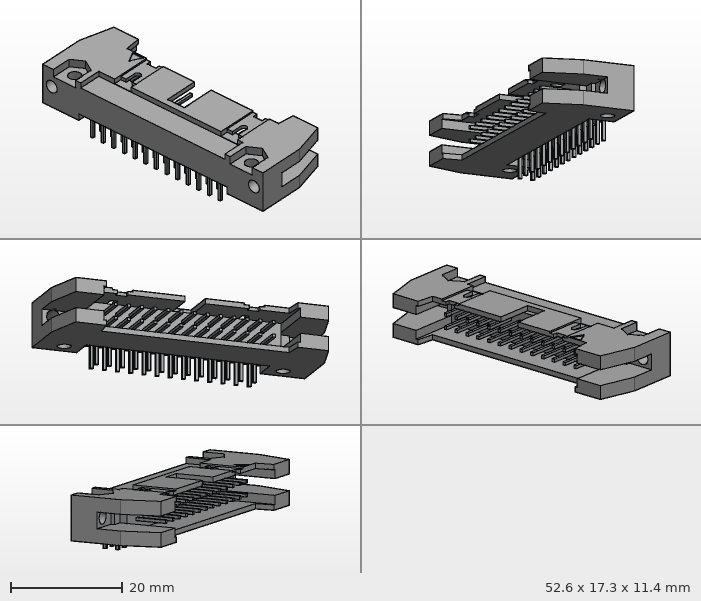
import cadquery as cq

length = 52.6
depth = 17.3
height = 8.4
mid_z = height / 2
wall_edge_y = 13.75
shoulder_y = 10.05
tower_tip_half = 24.35
tower_inner_half = 18.45
tower_root_half = 18.1

wall = 1.0
cavity_half = 18.95
cavity_floor_y = 7.45
slot_height = 3.05
slot_inner_y = 6.05
slot_outer_y = 5.25
slot_step_half = 21.05

ledge_half = 17.2
ledge_drop = 1.1
ledge_back_y = 4.95
recess_half = 17.65
recess_height = 1.4

hole_d = 2.6
mount_y = 2.85
nut_width = 5.25
mount_x = tower_inner_half + nut_width / 2
nut_shoulder_y = 4.3
nut_apex_y = 5.85
nut_depth = 1.65
side_hole_x = 24.15
side_hole_z = 4.45

columns = 13
contact_row = 30.45
pitch = contact_row / (columns - 1)
pin = 0.6
pin_end_y = 13.5
tail_end_z = -3.0
tail_front_y = 1.0

key_width = 3.95
key_floor_y = 6.3
channel_columns = (-4.5, 5.5)
channel_width = 3.95
channel_drop = 0.3
channel_step_y = 6.65
window_width = 1.4
window_end_y = 9.6
edge_notch_width = 2.05
edge_notch_y = 12.8

mark_width = 2.5
mark_base_y = 13.45
mark_tip_y = 10.95
mark_depth = 0.2


def box(x0, x1, y0, y1, z0, z1):
    """Axis-aligned block between two opposite corners."""
    return cq.Workplane("XY").box(x1 - x0, y1 - y0, z1 - z0, centered=False).translate((x0, y0, z0))


def centred_box(x, width, y0, y1, z0, z1):
    """Block centred on x."""
    return box(x - width / 2, x + width / 2, y0, y1, z0, z1)


def housing():
    right_side = [
        (length / 2, 0),
        (length / 2, shoulder_y),
        (tower_tip_half, depth),
        (tower_inner_half, depth),
        (tower_root_half, wall_edge_y),
    ]
    left_side = [(-x, y) for x, y in reversed(right_side)]
    return cq.Workplane("XY").polyline(right_side + left_side).close().extrude(height)


def cavity():
    """Mating cavity with a stepped ejector slot through both ends."""
    slot_bottom = mid_z - slot_height / 2
    slot_top = mid_z + slot_height / 2
    room = centred_box(0, 2 * cavity_half, cavity_floor_y, depth, wall, height - wall)
    for side in (-1, 1):
        inner_width = slot_step_half - cavity_half
        inner_x = side * (cavity_half + inner_width / 2)
        room = room.union(centred_box(inner_x, inner_width, slot_inner_y, depth, slot_bottom, slot_top))
        outer_width = length / 2 - slot_step_half
        outer_x = side * (slot_step_half + outer_width / 2)
        room = room.union(centred_box(outer_x, outer_width, slot_outer_y, depth, slot_bottom, slot_top))
    return room


def front_ledge():
    """Lowered strip along the front of the top face."""
    return centred_box(0, 2 * ledge_half, 0, ledge_back_y, height - ledge_drop, height)


def underside_recess():
    return centred_box(0, 2 * recess_half, 0, ledge_back_y, 0, recess_height)


def mounting(side):
    """Nut pocket with its vertical hole, and the hole from the front into the slot."""
    x = side * mount_x
    half = nut_width / 2
    outline = [
        (x - half, 0),
        (x + half, 0),
        (x + half, nut_shoulder_y),
        (x, nut_apex_y),
        (x - half, nut_shoulder_y),
    ]
    pocket = (
        cq.Workplane("XY").workplane(offset=height - nut_depth)
        .polyline(outline).close().extrude(nut_depth)
    )
    vertical = cq.Workplane("XY").center(x, mount_y).circle(hole_d / 2).extrude(height)
    front = (
        cq.Workplane("XZ").center(side * side_hole_x, side_hole_z)
        .circle(hole_d / 2).extrude(-slot_inner_y)
    )
    return pocket.union(vertical).union(front)


def key_notch():
    return centred_box(0, key_width, key_floor_y, wall_edge_y, height - wall, height)


def channel(x):
    """Shallow channel across the top wall with a deep front end, a window and an edge notch."""
    web_bottom = height - wall
    shallow = centred_box(x, channel_width, channel_step_y, wall_edge_y, height - channel_drop, height)
    deep = centred_box(x, channel_width, ledge_back_y, channel_step_y, web_bottom, height)
    round_y = window_end_y - window_width / 2
    window = centred_box(x, window_width, channel_step_y, round_y, web_bottom, height)
    round_end = (
        cq.Workplane("XY").workplane(offset=web_bottom)
        .center(x, round_y).circle(window_width / 2).extrude(wall)
    )
    notch = centred_box(x, edge_notch_width, edge_notch_y, wall_edge_y, web_bottom, height)
    return shallow.union(deep).union(window).union(round_end).union(notch)


def pin_one_mark():
    x = -contact_row / 2
    half = mark_width / 2
    outline = [(x - half, mark_base_y), (x + half, mark_base_y), (x, mark_tip_y)]
    return (
        cq.Workplane("XY").workplane(offset=height - mark_depth)
        .polyline(outline).close().extrude(mark_depth)
    )


def contacts(x):
    """Two contact pins in the cavity and two tails below the housing, rooted one pin width deep."""
    half = pin / 2
    pins = cq.Workplane("XY")
    for z in (mid_z - pitch / 2, mid_z + pitch / 2):
        pins = pins.union(centred_box(x, pin, cavity_floor_y - pin, pin_end_y, z - half, z + half))
    for y in (tail_front_y, tail_front_y + pitch):
        pins = pins.union(centred_box(x, pin, y - half, y + half, tail_end_z, recess_height + pin))
    return pins


result = housing().cut(cavity()).cut(front_ledge()).cut(underside_recess())
for side in (-1, 1):
    result = result.cut(mounting(side))
result = result.cut(key_notch()).cut(pin_one_mark())
for position in channel_columns:
    result = result.cut(channel(position * pitch))
for column in range(columns):
    result = result.union(contacts(column * pitch - contact_row / 2))